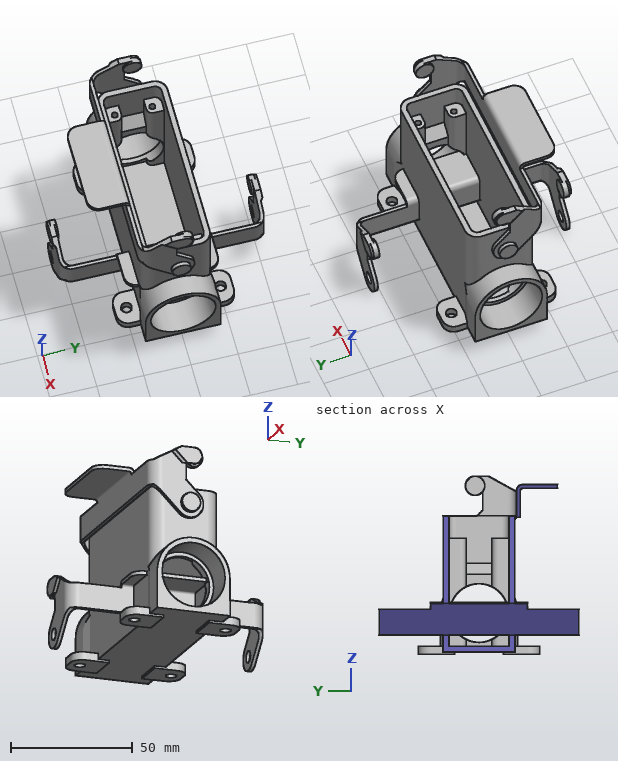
import cadquery as cq
import math

diagonal = math.sqrt(0.5)

body_length = 78.8
body_width = 29.6
body_height = 56.0
wall = 2.5
floor_thickness = 2.5
outer_corner_radius = 5.4

cavity_length = body_length - 2 * wall
cavity_width = body_width - 2 * wall
cavity_corner_radius = outer_corner_radius - wall

overall_length = 96.0
port_radius = 15.9
port_axis_z = 16.0
port_bore_diameter = 24.0
gland_bore_diameter = 27.6
gland_bore_depth = 13.5

boss_length = 7.0
boss_inner_y = 5.3
boss_top_z = 46.8
boss_corner_radius = 2.5
screw_hole_diameter = 2.5
screw_hole_depth = 12.0
screw_x = 32.9
screw_y = 8.0
end_pad_thickness = 4.5
end_pad_top_z = 36.5

foot_length = 15.0
foot_inner_y = 10.0
foot_outer_y = 25.0
foot_thickness = 3.5
foot_drop = 1.0
foot_corner_radius = 5.0
foot_hole_diameter = 4.5
foot_hole_x = 32.0
foot_hole_y = 20.0

sheet = 1.6
bar_outer_x = 17.0
bar_inner_x = bar_outer_x - sheet
strip_bend_radius = 5.0
bar_bottom_z = 7.0
bar_top_z = 17.7
pivot_eye_diameter = 12.0
pivot_eye_radius = pivot_eye_diameter / 2
pivot_hole_diameter = 5.0
arm_rear_x = 1.5
hook_top_z = 24.0
hook_flat_end_x = 3.8
hook_radius = 3.5
hook_x = -1.6
hook_step = 1.0
lever_width = 88.8
arm_outer_y = lever_width / 2 - hook_step
step_run = 1.2
step_foot_x = 3.3
knob_diameter = 8.0
knob_height = 0.9
handle_width = 39.9
handle_end_x = 32.4
handle_top_z = 20.5
handle_bend_radius = 2.6
handle_corner_radius = 5.0

pivot_z = 48.3
stud_diameter = 4.7
stud_head_diameter = 8.0
stud_head_thickness = 1.7
stud_head_clearance = 0.3

closed_lever_place = (-90, pivot_z)
cross_lever_place = (0, 0)


def box(x_min, x_max, y_min, y_max, z_min, z_max):
    size = (x_max - x_min, y_max - y_min, z_max - z_min)
    return cq.Workplane("XY").box(*size, centered=False).translate((x_min, y_min, z_min))


def four_corners(solid):
    """The solid and its mirror images about the XZ and YZ planes."""
    pair = solid.union(solid.mirror("XZ"))
    return pair.union(pair.mirror("YZ"))


def rounded_block(length, width, radius, z_min, z_max):
    block = box(-length / 2, length / 2, -width / 2, width / 2, z_min, z_max)
    return block.edges("|Z").fillet(radius)


def make_ports():
    """Arched tunnel over the whole length, tapered in plan into the side walls."""
    half_length = overall_length / 2
    arch = (
        cq.Workplane("YZ")
        .moveTo(-port_radius, 0)
        .lineTo(-port_radius, port_axis_z)
        .threePointArc((0, port_axis_z + port_radius), (port_radius, port_axis_z))
        .lineTo(port_radius, 0)
        .close()
        .extrude(half_length, both=True)
    )
    taper_start_x = body_length / 2
    taper_end_x = taper_start_x - outer_corner_radius
    plan = (
        cq.Workplane("XY")
        .moveTo(0, 0)
        .lineTo(half_length, 0)
        .lineTo(half_length, port_radius)
        .lineTo(taper_start_x, port_radius)
        .lineTo(taper_end_x, body_width / 2)
        .lineTo(0, body_width / 2)
        .close()
        .extrude(body_height)
    )
    return arch.intersect(four_corners(plan))


def make_foot():
    x_max = body_length / 2
    foot = box(x_max - foot_length, x_max, foot_inner_y, foot_outer_y, -foot_drop, foot_thickness - foot_drop)
    foot = foot.edges("|Z and >Y").fillet(foot_corner_radius)
    hole = cq.Workplane("XY", origin=(foot_hole_x, foot_hole_y, -foot_drop)).circle(foot_hole_diameter / 2)
    return foot.cut(hole.extrude(foot_thickness))


def make_boss():
    """Drilled corner post that carries the insert."""
    x_max = cavity_length / 2
    boss = box(x_max - boss_length, x_max, boss_inner_y, cavity_width / 2, floor_thickness, boss_top_z)
    boss = boss.edges("|Z and <X and <Y").fillet(boss_corner_radius)
    hole = cq.Workplane("XY", origin=(screw_x, screw_y, boss_top_z)).circle(screw_hole_diameter / 2)
    return boss.cut(hole.extrude(-screw_hole_depth))


def make_end_pad():
    """Thick end wall between two bosses, bevelled at 45 degrees on top."""
    x_wall = cavity_length / 2
    x_face = x_wall - end_pad_thickness
    return (
        cq.Workplane("XZ")
        .moveTo(x_face, floor_thickness)
        .lineTo(x_face, end_pad_top_z - end_pad_thickness)
        .lineTo(x_wall, end_pad_top_z)
        .lineTo(x_wall, floor_thickness)
        .close()
        .extrude(boss_inner_y + boss_corner_radius, both=True)
    )


def make_cavity():
    cavity = rounded_block(cavity_length, cavity_width, cavity_corner_radius, floor_thickness, body_height)
    end_pad = make_end_pad()
    return cavity.cut(four_corners(make_boss())).cut(end_pad).cut(end_pad.mirror("YZ"))


def x_cylinder(diameter, x_min, x_max, z):
    return cq.Workplane("YZ", origin=(x_min, 0, z)).circle(diameter / 2).extrude(x_max - x_min)


def make_stud():
    """Headed pivot stud on the +X end wall."""
    end_x = body_length / 2
    head_x = arm_outer_y + stud_head_clearance
    shank = x_cylinder(stud_diameter, end_x, head_x, pivot_z)
    return shank.union(x_cylinder(stud_head_diameter, head_x, head_x + stud_head_thickness, pivot_z))


def make_housing():
    half_length = overall_length / 2
    shell = rounded_block(body_length, body_width, outer_corner_radius, 0, body_height)
    shell = shell.union(make_ports()).cut(make_cavity())
    shell = shell.cut(x_cylinder(port_bore_diameter, -half_length, half_length, port_axis_z))
    gland_bore = x_cylinder(gland_bore_diameter, half_length - gland_bore_depth, half_length, port_axis_z)
    shell = shell.cut(gland_bore).cut(gland_bore.mirror("YZ"))
    stud = make_stud()
    shell = shell.union(stud).union(stud.mirror("YZ"))
    return shell.union(four_corners(make_foot()))


def make_strip():
    """Bent strip: two arms joined by the cross bar, cut to the arm outline."""
    rear_x = -pivot_eye_radius
    strip = box(rear_x, bar_outer_x, -arm_outer_y, arm_outer_y, -pivot_eye_radius, hook_top_z)
    strip = strip.edges("|Z and >X").fillet(strip_bend_radius)
    hollow = box(
        rear_x, bar_inner_x, sheet - arm_outer_y, arm_outer_y - sheet,
        -pivot_eye_radius, hook_top_z,
    )
    strip = strip.cut(hollow.edges("|Z and >X").fillet(strip_bend_radius - sheet))

    tangent = pivot_eye_radius * diagonal
    outline = (
        cq.Workplane("XZ")
        .moveTo(-tangent, tangent)
        .lineTo(arm_rear_x, arm_rear_x + 2 * tangent)
        .lineTo(arm_rear_x, hook_top_z)
        .lineTo(hook_flat_end_x, hook_top_z)
        .lineTo(bar_inner_x, bar_top_z)
        .lineTo(bar_outer_x, bar_top_z)
        .lineTo(bar_outer_x, bar_bottom_z)
        .lineTo(bar_bottom_z + 2 * tangent, bar_bottom_z)
        .lineTo(tangent, -tangent)
        .threePointArc((-tangent, -tangent), (-tangent, tangent))
        .close()
        .extrude(arm_outer_y, both=True)
    )
    pivot_hole = cq.Workplane("XZ").circle(pivot_hole_diameter / 2).extrude(arm_outer_y, both=True)
    return strip.intersect(outline).cut(pivot_hole)


def make_hook():
    """Thickened end of the arm on the +Y side, with a round knob facing inwards."""
    hook_bottom_z = hook_top_z - 2 * hook_radius
    edge_slope = (hook_top_z - bar_top_z) / (bar_inner_x - hook_flat_end_x)
    rise = (hook_top_z - hook_bottom_z - edge_slope * (step_foot_x - hook_flat_end_x)) / (1 + edge_slope)
    step_end = (step_foot_x + rise, hook_bottom_z + rise)
    inner_y = arm_outer_y - sheet
    hook = (
        cq.Workplane("XZ", origin=(0, inner_y, 0))
        .moveTo(hook_x, hook_top_z)
        .lineTo(hook_flat_end_x, hook_top_z)
        .lineTo(*step_end)
        .lineTo(step_foot_x, hook_bottom_z)
        .lineTo(hook_x, hook_bottom_z)
        .threePointArc((hook_x - hook_radius, hook_top_z - hook_radius), (hook_x, hook_top_z))
        .close()
        .extrude(-(sheet + hook_step))
    )
    step_edge = cq.selectors.ParallelDirSelector(cq.Vector(1, 0, 1))
    hook = hook.faces(">Y").edges(step_edge).chamfer(hook_step, step_run)
    knob = (
        cq.Workplane("XZ", origin=(hook_x, inner_y - knob_height, hook_top_z - knob_diameter / 2))
        .circle(knob_diameter / 2)
        .extrude(-(sheet + knob_height))
    )
    return hook.union(knob)


def make_handle():
    """Flat tab bent outwards from the top of the cross bar."""
    inside_radius = handle_bend_radius - sheet
    bend_x = bar_inner_x + handle_bend_radius
    bend_z = handle_top_z - handle_bend_radius
    tab = (
        cq.Workplane("XZ")
        .moveTo(bar_inner_x, bar_bottom_z)
        .lineTo(bar_inner_x, bend_z)
        .threePointArc(
            (bend_x - handle_bend_radius * diagonal, bend_z + handle_bend_radius * diagonal),
            (bend_x, handle_top_z),
        )
        .lineTo(handle_end_x, handle_top_z)
        .lineTo(handle_end_x, handle_top_z - sheet)
        .lineTo(bend_x, handle_top_z - sheet)
        .threePointArc(
            (bend_x - inside_radius * diagonal, bend_z + inside_radius * diagonal),
            (bar_outer_x, bend_z),
        )
        .lineTo(bar_outer_x, bar_bottom_z)
        .close()
        .extrude(handle_width / 2, both=True)
    )
    return tab.faces(">X").edges("|Z").fillet(handle_corner_radius)


def make_lever():
    hook = make_hook()
    return make_strip().union(hook).union(hook.mirror("XZ")).union(make_handle())


lever = make_lever()
levers = []
for turn, height in (closed_lever_place, cross_lever_place):
    levers.append(lever.rotate((0, 0, 0), (0, 0, 1), turn).translate((0, 0, height)))
closed_lever, cross_lever = levers

housing = make_housing().cut(cross_lever)

result = cq.Compound.makeCompound([housing.val(), closed_lever.val(), cross_lever.val()])